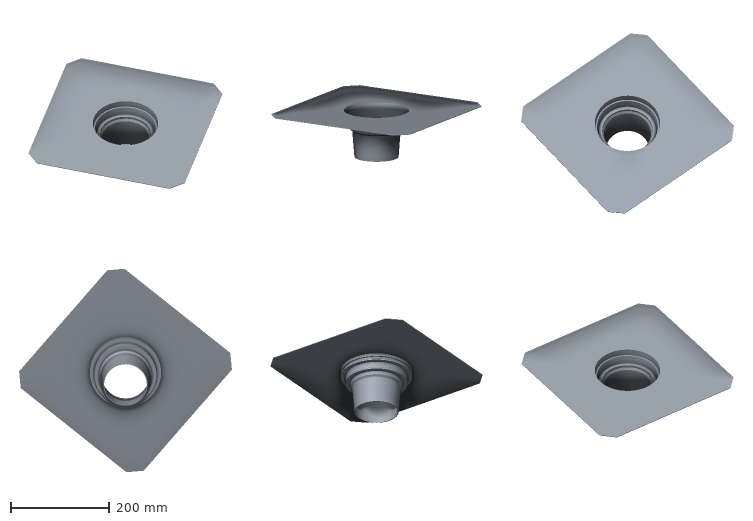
import cadquery as cq

plate_side = 330.0
plate_thickness = 1.3
corner_cut = 25.0

total_depth = 97.3
groove_top_depth = 7.5
groove_bottom_depth = 11.7
upper_rim_top_depth = 14.0
upper_step_depth = 16.0
lower_flare_top_depth = 27.5
lower_rim_top_depth = 29.5
lower_step_depth = 31.5
neck_depth = 39.0
spigot_depth = 42.5

upper_ledge_depth = 13.0
lower_ledge_depth = 29.0
bore_neck_depth = 34.0
bore_cone_depth = 38.0

collar_diameter = 145.0
groove_diameter = 139.0
middle_top_diameter = 126.45
middle_bottom_diameter = 124.0
lower_rim_diameter = middle_top_diameter
neck_diameter = 106.45
spigot_top_diameter = 98.8
spigot_bottom_diameter = 90.0

mouth_diameter = 133.0
upper_ledge_outer_diameter = 130.0
upper_ledge_inner_diameter = 124.0
lower_ledge_outer_diameter = 117.0
bore_neck_diameter = 103.0
bore_top_diameter = 95.5
bore_bottom_diameter = 86.7


def revolved(profile):
    """Solid of revolution about Z from (diameter, depth) pairs listed from top to bottom."""
    edge = [(diameter / 2, -depth) for diameter, depth in profile]
    top_center = (0, edge[0][1])
    bottom_center = (0, edge[-1][1])
    outline = cq.Workplane("XZ").polyline([top_center] + edge + [bottom_center]).close()
    return outline.revolve(360, (0, 0), (0, 1))


def flange_plate():
    plate = cq.Workplane("XY").rect(plate_side, plate_side).extrude(-plate_thickness)
    return plate.edges("|Z").chamfer(corner_cut)


def socket_body():
    return revolved([
        (collar_diameter, 0),
        (collar_diameter, groove_top_depth),
        (groove_diameter, groove_top_depth),
        (groove_diameter, groove_bottom_depth),
        (collar_diameter, upper_rim_top_depth),
        (collar_diameter, upper_step_depth),
        (middle_top_diameter, upper_step_depth),
        (middle_bottom_diameter, lower_flare_top_depth),
        (lower_rim_diameter, lower_rim_top_depth),
        (lower_rim_diameter, lower_step_depth),
        (neck_diameter, lower_step_depth),
        (neck_diameter, neck_depth),
        (spigot_top_diameter, spigot_depth),
        (spigot_bottom_diameter, total_depth),
    ])


def stepped_bore():
    return revolved([
        (mouth_diameter, 0),
        (upper_ledge_outer_diameter, upper_ledge_depth),
        (upper_ledge_inner_diameter, upper_ledge_depth),
        (lower_ledge_outer_diameter, lower_ledge_depth),
        (bore_neck_diameter, lower_ledge_depth),
        (bore_neck_diameter, bore_neck_depth),
        (bore_top_diameter, bore_cone_depth),
        (bore_bottom_diameter, total_depth),
    ])


result = flange_plate().union(socket_body()).cut(stepped_bore())